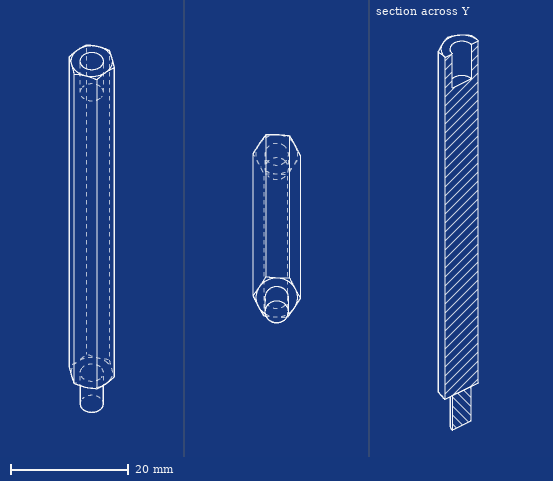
import cadquery as cq
import math

TOTAL_LENGTH = 88.0
ACROSS_FLATS = 7.0
THREAD_DIAMETER = 4.0
STUD_LENGTH = 8.0
BORE_DEPTH = STUD_LENGTH
CHAMFER_ANGLE = 30.0

BODY_LENGTH = TOTAL_LENGTH - STUD_LENGTH
ACROSS_CORNERS = ACROSS_FLATS / math.cos(math.radians(30))
FLAT_RADIUS = ACROSS_FLATS / 2
CORNER_RADIUS = ACROSS_CORNERS / 2
CHAMFER_HEIGHT = (CORNER_RADIUS - FLAT_RADIUS) * math.tan(math.radians(CHAMFER_ANGLE))


def make_chamfer_envelope():
    """Turned profile whose conical ends trim the corners of the hexagon."""
    return (
        cq.Workplane("XZ")
        .moveTo(0, 0)
        .lineTo(FLAT_RADIUS, 0)
        .lineTo(CORNER_RADIUS, CHAMFER_HEIGHT)
        .lineTo(CORNER_RADIUS, BODY_LENGTH - CHAMFER_HEIGHT)
        .lineTo(FLAT_RADIUS, BODY_LENGTH)
        .lineTo(0, BODY_LENGTH)
        .close()
        .revolve(360, (0, 0), (0, 1))
    )


def make_spacer():
    """Hexagonal spacer standing on Z = 0, corners along Y, with a blind bore in its top."""
    hexagon = (
        cq.Workplane("XY")
        .transformed(rotate=(0, 0, 90))
        .polygon(6, ACROSS_CORNERS)
        .extrude(BODY_LENGTH)
    )
    bore = (
        cq.Workplane("XY", origin=(0, 0, BODY_LENGTH - BORE_DEPTH))
        .circle(THREAD_DIAMETER / 2)
        .extrude(BORE_DEPTH)
    )
    return hexagon.intersect(make_chamfer_envelope()).cut(bore)


def make_stud():
    """Round stud below the spacer, touching its bottom face."""
    return cq.Workplane("XY").circle(THREAD_DIAMETER / 2).extrude(-STUD_LENGTH)


spacer = make_spacer()
stud = make_stud()

result = cq.Compound.makeCompound([spacer.solids().val(), stud.val()])